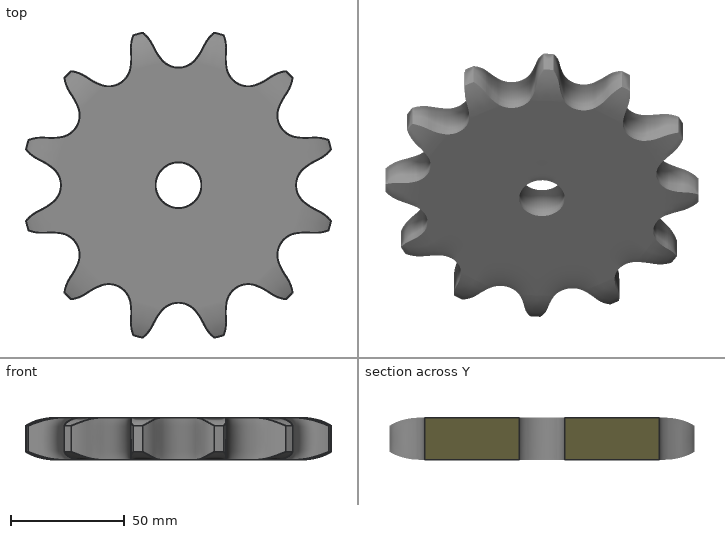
import cadquery as cq
import math

PITCH = 31.75
ROLLER_DIAMETER = 19.05
TOOTH_COUNT = 12
OUTSIDE_DIAMETER = 137.78
THICKNESS = 18.5
BORE_DIAMETER = 20.0

SIDE_RADIUS = PITCH
SHOULDER_RADIUS = 54.3

HALF_TOOTH_ANGLE = math.pi / TOOTH_COUNT
PITCH_RADIUS = PITCH / (2 * math.sin(HALF_TOOTH_ANGLE))
SEATING_RADIUS = (1.005 * ROLLER_DIAMETER + 0.0762) / 2
WORKING_RADIUS = 1.3025 * ROLLER_DIAMETER + 0.0381
WORKING_CENTER_OFFSET = 0.8 * ROLLER_DIAMETER
TOPPING_CENTER_OFFSET = 1.4 * ROLLER_DIAMETER
SEATING_END_ANGLE = math.radians(35 + 60 / TOOTH_COUNT)
WORKING_SWEEP = math.radians(18 - 56 / TOOTH_COUNT)
WORKING_END_ANGLE = SEATING_END_ANGLE - WORKING_SWEEP


def offset(point, distance, angle):
    """Point at a given distance and direction from another point."""
    return (point[0] + distance * math.cos(angle), point[1] + distance * math.sin(angle))


def rotated(point, angle):
    """Point turned about the sprocket axis."""
    cosine = math.cos(angle)
    sine = math.sin(angle)
    return (point[0] * cosine - point[1] * sine, point[0] * sine + point[1] * cosine)


def mirrored(point):
    """Point reflected across the centerline of the gap."""
    return (-point[0], point[1])


def tip_point(center, radius):
    """Where the topping arc, on the right of the gap, meets the outside circle."""
    outside_radius = OUTSIDE_DIAMETER / 2
    distance = math.hypot(*center)
    cosine = (distance**2 + outside_radius**2 - radius**2) / (2 * distance * outside_radius)
    direction = math.atan2(center[1], center[0]) + math.acos(cosine)
    return offset((0, 0), outside_radius, direction)


def right_flank():
    """Points up the right side of the gap centered on +Y, from the gap bottom to the tooth tip."""
    roller_center = (0, PITCH_RADIUS)
    bottom = offset(roller_center, SEATING_RADIUS, -math.pi / 2)
    seating_end = offset(roller_center, SEATING_RADIUS, -SEATING_END_ANGLE)

    working_center = offset(roller_center, WORKING_CENTER_OFFSET, math.pi - SEATING_END_ANGLE)
    working_middle_angle = (SEATING_END_ANGLE + WORKING_END_ANGLE) / 2
    working_middle = offset(working_center, WORKING_RADIUS, -working_middle_angle)
    working_end = offset(working_center, WORKING_RADIUS, -WORKING_END_ANGLE)

    topping_center = offset(roller_center, TOPPING_CENTER_OFFSET, -HALF_TOOTH_ANGLE)
    flank_angle = math.pi / 2 - WORKING_END_ANGLE
    straight_length = (
        (topping_center[0] - working_end[0]) * math.cos(flank_angle)
        + (topping_center[1] - working_end[1]) * math.sin(flank_angle)
    )
    straight_end = offset(working_end, straight_length, flank_angle)
    topping_radius = math.dist(topping_center, straight_end)
    tip = tip_point(topping_center, topping_radius)
    topping_start_angle = math.pi - WORKING_END_ANGLE
    topping_end_angle = math.atan2(tip[1] - topping_center[1], tip[0] - topping_center[0])
    topping_middle_angle = (topping_start_angle + topping_end_angle) / 2
    topping_middle = offset(topping_center, topping_radius, topping_middle_angle)

    return (
        bottom,
        seating_end,
        working_middle,
        working_end,
        straight_end,
        topping_middle,
        tip,
    )


def toothed_plate():
    """Full-thickness plate with the tooth outline."""
    flank = right_flank()
    outside_radius = OUTSIDE_DIAMETER / 2
    first_tip = mirrored(flank[-1])
    outline = cq.Workplane("XY").workplane(offset=-THICKNESS / 2).moveTo(*first_tip)
    for index in range(TOOTH_COUNT):
        turn = -2 * HALF_TOOTH_ANGLE * index
        next_turn = turn - 2 * HALF_TOOTH_ANGLE
        (
            bottom,
            right_seating_end,
            right_working_middle,
            right_working_end,
            right_straight_end,
            right_topping_middle,
            right_tip,
        ) = [rotated(point, turn) for point in flank]
        (
            left_seating_end,
            left_working_middle,
            left_working_end,
            left_straight_end,
            left_topping_middle,
        ) = [rotated(mirrored(point), turn) for point in flank[1:-1]]
        tooth_crest = rotated((0, outside_radius), turn - HALF_TOOTH_ANGLE)
        outline = (
            outline.threePointArc(left_topping_middle, left_straight_end)
            .lineTo(*left_working_end)
            .threePointArc(left_working_middle, left_seating_end)
            .threePointArc(bottom, right_seating_end)
            .threePointArc(right_working_middle, right_working_end)
            .lineTo(*right_straight_end)
            .threePointArc(right_topping_middle, right_tip)
            .threePointArc(tooth_crest, rotated(first_tip, next_turn))
        )
    return outline.close().extrude(THICKNESS)


def rounded_blank():
    """Solid of revolution whose rim is rounded on both sides."""
    half_thickness = THICKNESS / 2
    outside_radius = OUTSIDE_DIAMETER / 2

    def side_height(radius):
        run = radius - SHOULDER_RADIUS
        return half_thickness - SIDE_RADIUS + math.sqrt(SIDE_RADIUS**2 - run**2)

    middle_radius = (SHOULDER_RADIUS + outside_radius) / 2
    middle_height = side_height(middle_radius)
    tip_height = side_height(outside_radius)
    return (
        cq.Workplane("XZ")
        .moveTo(0, -half_thickness)
        .lineTo(SHOULDER_RADIUS, -half_thickness)
        .threePointArc((middle_radius, -middle_height), (outside_radius, -tip_height))
        .lineTo(outside_radius, tip_height)
        .threePointArc((middle_radius, middle_height), (SHOULDER_RADIUS, half_thickness))
        .lineTo(0, half_thickness)
        .close()
        .revolve(360, (0, 0, 0), (0, 1, 0))
    )


def bore():
    """Cylinder that clears the shaft hole."""
    return cq.Workplane("XY").circle(BORE_DIAMETER / 2).extrude(THICKNESS, both=True)


result = toothed_plate().intersect(rounded_blank()).cut(bore())